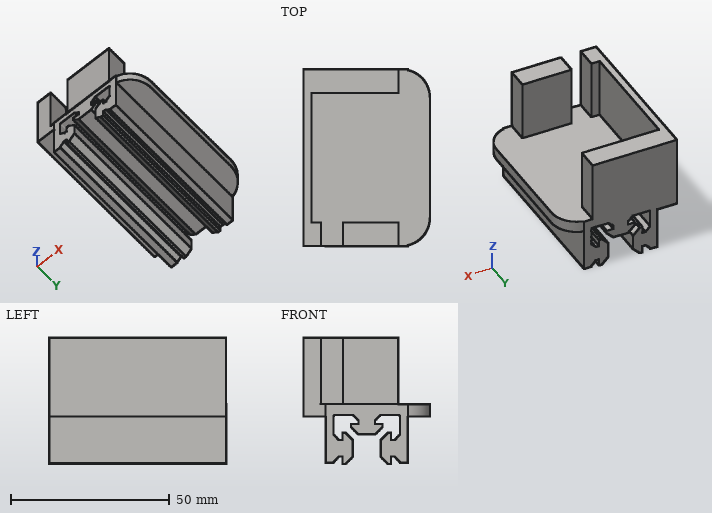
import cadquery as cq

plate_width = 40.0
part_length = 56.0
plate_thickness = 4.0
front_setback = 0.1
plate_corner_radius = 9.0

wall_height = 21.0
wall_reach = 30.0
side_wall_thickness = 2.6
end_wall_thickness = 7.5
front_lip_reach = 5.5
front_opening_end = 12.5

rail_width = 26.0
rail_center_x = 20.0
rail_center_z = -14.0
core_half = 4.37
neck_half = 2.65
head_half = 4.99
head_back = 7.71
head_shoulder = core_half + head_half - neck_half
neck_root = 8.82
cavity_half = 10.45
cavity_top = 10.5
foot_depth = 4.6
cavity_corner_radius = 0.4


def box(x_start, x_end, y_start, y_end, z_start, z_end):
    """Axis-aligned block between the given limits."""
    size = (x_end - x_start, y_end - y_start, z_end - z_start)
    corner = (x_start, y_start, z_start)
    return cq.Workplane("XY").box(*size, centered=False).translate(corner)


def make_plate():
    """Flat plate with its two +X corners rounded and a full-length gap for the rail."""
    rail_start = rail_center_x - rail_width / 2
    rail_end = rail_center_x + rail_width / 2
    plate = box(0, plate_width, front_setback, part_length, -plate_thickness, 0)
    plate = plate.edges("|Z and >X").fillet(plate_corner_radius)
    return plate.cut(box(rail_start, rail_end, 0, part_length, -plate_thickness, 0))


def make_walls():
    """Side wall, rear end wall, front lip and the separate front post."""
    rear_start = part_length - end_wall_thickness
    side = box(0, side_wall_thickness, front_setback, part_length, -plate_thickness, wall_height)
    rear = box(0, wall_reach, rear_start, part_length, 0, wall_height)
    lip = box(0, front_lip_reach, front_setback, end_wall_thickness, -plate_thickness, wall_height)
    post = box(front_opening_end, wall_reach, front_setback, end_wall_thickness, 0, wall_height)
    return side.union(rear).union(lip).union(post)


def make_rail():
    """Extrude the right half of the rail section along Y and mirror it."""
    top = -rail_center_z
    half_width = rail_width / 2
    half_section = [
        (0, top),
        (half_width, top),
        (half_width, -foot_depth),
        (cavity_half, -foot_depth),
        (cavity_half, -core_half),
        (neck_root, -neck_half),
        (head_back, -neck_half),
        (head_back, -head_half),
        (head_shoulder, -head_half),
        (core_half, -neck_half),
        (core_half, neck_half),
        (head_shoulder, head_half),
        (head_back, head_half),
        (head_back, neck_half),
        (neck_root, neck_half),
        (cavity_half, core_half),
        (cavity_half, cavity_top),
        (core_half, cavity_top),
        (neck_half, neck_root),
        (neck_half, head_back),
        (head_half, head_back),
        (head_half, head_shoulder),
        (neck_half, core_half),
        (0, core_half),
    ]
    half = cq.Workplane("XZ").polyline(half_section).close().extrude(-part_length)
    cavity_corner = cq.selectors.NearestToPointSelector((cavity_half, part_length / 2, cavity_top))
    half = half.edges(cavity_corner).fillet(cavity_corner_radius)
    rail = half.union(half.mirror("YZ"))
    return rail.translate((rail_center_x, 0, rail_center_z))


result = make_plate().union(make_walls()).union(make_rail())